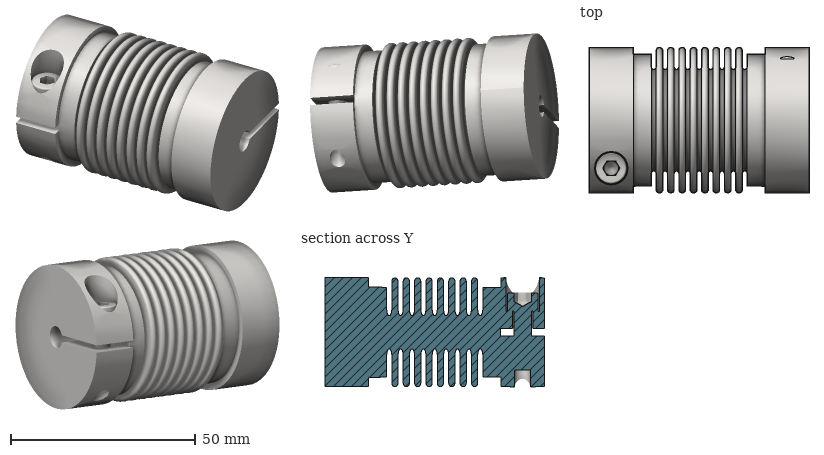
import cadquery as cq
import math

LENGTH = 59.7
HUB_DIAMETER = 39.5
HUB_LENGTH = 12.0
COLLAR_DIAMETER = 35.8
COLLAR_LENGTH = 4.9
BORE_DIAMETER = 6.0

CREST_COUNT = 8
CREST_WIDTH = 1.85
ROOT_RADIUS = 13.8
BELLOWS_START = HUB_LENGTH + COLLAR_LENGTH
BELLOWS_LENGTH = LENGTH - 2 * BELLOWS_START
GROOVE_WIDTH = (BELLOWS_LENGTH - CREST_COUNT * CREST_WIDTH) / (CREST_COUNT + 1)

SLIT_WIDTH = 2.0
SCREW_X = HUB_LENGTH / 2
SCREW_Y = -13.0
HEAD_TOP_Z = 10.7
HEAD_DIAMETER = 8.5
HEAD_HEIGHT = 5.0
HEAD_FILLET = 0.5
SHANK_DIAMETER = 5.0
SHANK_LENGTH = 16.0
SOCKET_WIDTH = 4.0
SOCKET_DEPTH = 2.5
SOCKET_TIP_ANGLE = 120.0
COUNTERBORE_DIAMETER = 9.0
CLEARANCE_DIAMETER = 5.5
TAPPED_DIAMETER = 4.2
SEAT_Z = HEAD_TOP_Z - HEAD_HEIGHT

HUB_RADIUS = HUB_DIAMETER / 2
COLLAR_RADIUS = COLLAR_DIAMETER / 2
BORE_RADIUS = BORE_DIAMETER / 2


def turned_body():
    """Both hubs, both collars and the bellows as one revolved outline with the bore left open."""
    groove_radius = GROOVE_WIDTH / 2
    groove_arc_start = ROOT_RADIUS + groove_radius
    crest_radius = CREST_WIDTH / 2
    crest_arc_start = HUB_RADIUS - crest_radius

    outline = (
        cq.Workplane("XY")
        .moveTo(0, BORE_RADIUS)
        .lineTo(0, HUB_RADIUS)
        .lineTo(HUB_LENGTH, HUB_RADIUS)
        .lineTo(HUB_LENGTH, COLLAR_RADIUS)
        .lineTo(BELLOWS_START, COLLAR_RADIUS)
    )
    x = BELLOWS_START
    for _ in range(CREST_COUNT):
        crest_x = x + GROOVE_WIDTH
        outline = (
            outline.lineTo(x, groove_arc_start)
            .threePointArc((x + groove_radius, ROOT_RADIUS), (crest_x, groove_arc_start))
            .lineTo(crest_x, crest_arc_start)
            .threePointArc(
                (crest_x + crest_radius, HUB_RADIUS), (crest_x + CREST_WIDTH, crest_arc_start)
            )
        )
        x = crest_x + CREST_WIDTH
    bellows_end = LENGTH - BELLOWS_START
    return (
        outline.lineTo(x, groove_arc_start)
        .threePointArc((x + groove_radius, ROOT_RADIUS), (bellows_end, groove_arc_start))
        .lineTo(bellows_end, COLLAR_RADIUS)
        .lineTo(LENGTH - HUB_LENGTH, COLLAR_RADIUS)
        .lineTo(LENGTH - HUB_LENGTH, HUB_RADIUS)
        .lineTo(LENGTH, HUB_RADIUS)
        .lineTo(LENGTH, BORE_RADIUS)
        .close()
        .revolve(360, (0, 0, 0), (1, 0, 0))
    )


def screw_cylinder(diameter, bottom_z, top_z):
    """A vertical cylinder on the axis of the near screw."""
    return (
        cq.Workplane("XY", origin=(SCREW_X, SCREW_Y, bottom_z))
        .circle(diameter / 2)
        .extrude(top_z - bottom_z)
    )


def counterbore():
    """The space above the screw seat, open to the top of the hub."""
    return screw_cylinder(COUNTERBORE_DIAMETER, SEAT_Z, HUB_RADIUS)


def slit_and_screw_hole():
    """The slit from the bore to the rim and the clearance and tapped holes that cross it."""
    slit = cq.Workplane("XY").box(HUB_LENGTH, HUB_RADIUS, SLIT_WIDTH, centered=(False, False, True))
    slit = slit.translate((0, -HUB_RADIUS, 0))
    clearance_hole = screw_cylinder(CLEARANCE_DIAMETER, 0, SEAT_Z)
    tapped_hole = screw_cylinder(TAPPED_DIAMETER, -HUB_RADIUS, 0)
    return slit.union(clearance_hole).union(tapped_hole)


def hex_socket():
    """The hexagonal recess with a drill tip at its bottom."""
    side_count = 6
    corner_diameter = SOCKET_WIDTH / math.cos(math.pi / side_count)
    tip_radius = SOCKET_WIDTH / 2
    tip_depth = tip_radius / math.tan(math.radians(SOCKET_TIP_ANGLE / 2))
    hexagon = (
        cq.Workplane("XY", origin=(SCREW_X, SCREW_Y, HEAD_TOP_Z))
        .polygon(side_count, corner_diameter)
        .extrude(-SOCKET_DEPTH)
    )
    floor = cq.Vector(SCREW_X, SCREW_Y, HEAD_TOP_Z - SOCKET_DEPTH)
    tip = cq.Solid.makeCone(tip_radius, 0, tip_depth, floor, cq.Vector(0, 0, -1))
    return hexagon.union(cq.Workplane(tip))


def screw():
    """The socket head screw of the near hub."""
    head = screw_cylinder(HEAD_DIAMETER, SEAT_Z, HEAD_TOP_Z).faces(">Z").edges().fillet(HEAD_FILLET)
    shank = screw_cylinder(SHANK_DIAMETER, SEAT_Z - SHANK_LENGTH, SEAT_Z)
    return head.union(shank).cut(hex_socket())


def to_far_hub(shape):
    """Half a turn about the vertical line through the middle of the coupling."""
    middle = LENGTH / 2
    return shape.rotate((middle, 0, 0), (middle, 0, 1), 180)


body = turned_body()

body = body.cut(counterbore().union(slit_and_screw_hole())).union(screw())

body = body.cut(to_far_hub(slit_and_screw_hole())).union(to_far_hub(screw()))

result = body